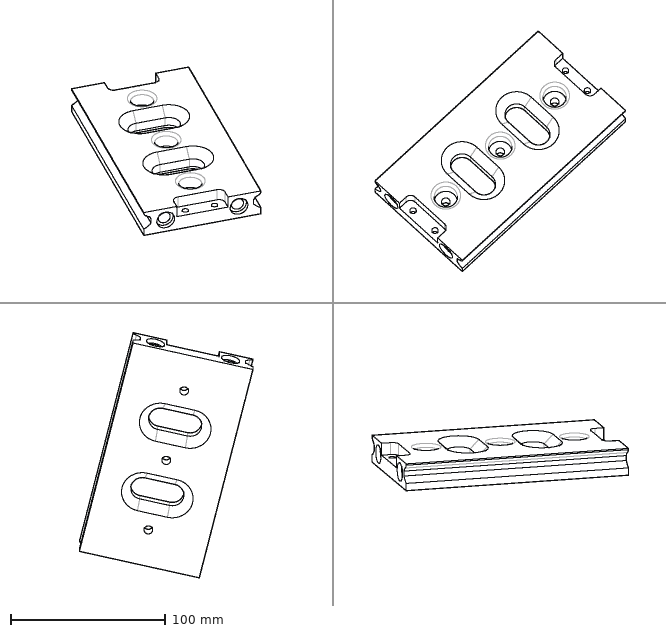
import cadquery as cq

length = 150.0
width = 80.0
height = 18.0
pitch = 150.0 / 3
half_width = width / 2

groove_depth = 5.0
groove_bottom = 5.0
groove_floor_start = 8.7
groove_floor_end = 12.0
groove_lower_bulge = (2.7, 6.6)
groove_inflection = (2.2, 14.7)
groove_top = 17.1
groove_upper_bulge = (3.9, 13.6)
lip_bulge = (0.8, 15.8)

slot_straight = 20.0
slot_mouth_width = 27.0
slot_throat_width = 15.0
slot_flare_depth = 6.0

screw_diameter = 5.5
screw_head_diameter = 15.0
screw_head_depth = 10.0
mouth_radius = 2.1

bore_diameter = 8.1
bore_mouth_diameter = 12.0
bore_mouth_depth = 3.0
bore_spacing = pitch

pocket_length = 10.2
pocket_width = 35.0
pocket_depth = 8.0
pocket_corner_radius = 4.0
pin_diameter = 4.0
pin_depth = 6.0
pin_inset = pitch / 10
pin_spacing = 20.0


def make_plate():
    return cq.Workplane("XY").box(length, width, height, centered=(True, True, False))


def make_groove():
    """Cutter for the groove on the +Y side."""
    def point(inward, z):
        return (half_width - inward, z)

    floor_y = half_width - groove_depth
    return (
        cq.Workplane("YZ", origin=(-length / 2, 0, 0))
        .moveTo(*point(0, groove_bottom))
        .threePointArc(point(*groove_lower_bulge), (floor_y, groove_floor_start))
        .lineTo(floor_y, groove_floor_end)
        .threePointArc(point(*groove_upper_bulge), point(*groove_inflection))
        .threePointArc(point(*lip_bulge), point(0, groove_top))
        .close()
        .extrude(length)
    )


def make_slot(x):
    """Through slot flared toward the top and bottom faces."""
    def flare(face_z, inward):
        return (
            cq.Workplane("XY", origin=(x, 0, face_z))
            .slot2D(slot_straight + slot_mouth_width, slot_mouth_width, 90)
            .workplane(offset=inward * slot_flare_depth)
            .slot2D(slot_straight + slot_throat_width, slot_throat_width, 90)
            .loft(ruled=True)
        )

    throat = (
        cq.Workplane("XY", origin=(x, 0, 0))
        .slot2D(slot_straight + slot_throat_width, slot_throat_width, 90)
        .extrude(height)
    )
    return throat.union(flare(height, -1)).union(flare(0, 1))


def make_screw_hole(x):
    """Revolved cutter for one counterbored hole with a rounded mouth."""
    head_radius = screw_head_diameter / 2
    head_floor = height - screw_head_depth
    return (
        cq.Workplane("XZ", origin=(x, 0, 0))
        .lineTo(screw_diameter / 2, 0)
        .lineTo(screw_diameter / 2, head_floor)
        .lineTo(head_radius, head_floor)
        .lineTo(head_radius, height - mouth_radius)
        .radiusArc((head_radius + mouth_radius, height), mouth_radius)
        .lineTo(0, height)
        .close()
        .revolve(360, (0, 0), (0, 1))
    )


def make_bore(y):
    def cylinder(x, diameter, depth):
        return (
            cq.Workplane("YZ", origin=(x, y, height / 2))
            .circle(diameter / 2)
            .extrude(depth)
        )

    bore = cylinder(-length / 2, bore_diameter, length)
    for x in (-length / 2, length / 2 - bore_mouth_depth):
        bore = bore.union(cylinder(x, bore_mouth_diameter, bore_mouth_depth))
    return bore


def make_end_pocket():
    """Cutter for the pocket and pin holes at the -X end."""
    floor_z = height - pocket_depth
    pocket = (
        cq.Workplane("XY", origin=(-length / 2, 0, floor_z))
        .rect(2 * pocket_length, pocket_width)
        .extrude(pocket_depth)
        .edges("|Z")
        .fillet(pocket_corner_radius)
    )
    pins = (
        cq.Workplane("XY", origin=(pin_inset - length / 2, 0, floor_z))
        .rarray(1.5, pin_spacing, 1, 2)
        .circle(pin_diameter / 2)
        .extrude(-pin_depth)
    )
    return pocket.union(pins)


result = make_plate()

groove = make_groove()
result = result.cut(groove).cut(groove.mirror("XZ"))

for slot_x in (-pitch / 2, pitch / 2):
    result = result.cut(make_slot(slot_x))

for screw_x in (-pitch, 0, pitch):
    result = result.cut(make_screw_hole(screw_x))

for bore_y in (-bore_spacing / 2, bore_spacing / 2):
    result = result.cut(make_bore(bore_y))

end_pocket = make_end_pocket()
result = result.cut(end_pocket).cut(end_pocket.mirror("YZ"))